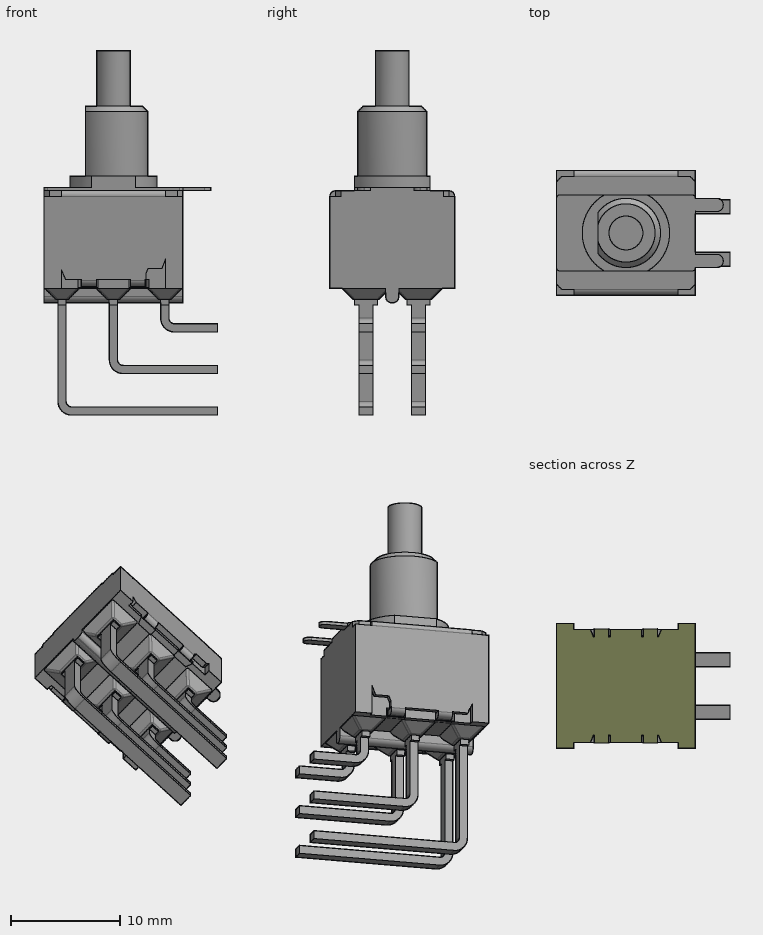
import cadquery as cq


TOTAL_Z = 33.35
TOTAL_X = 15.87
TOP_Z = 21.75
BOTTOM_Z = TOP_Z - TOTAL_Z

HOUSING_X = 12.7
HOUSING_Y = 11.45
HOUSING_Z = 8.4

SHEET = 0.55
COVER_Y = HOUSING_Y - 2 * SHEET
COVER_Z = HOUSING_Z + SHEET
COVER_CORNER = 0.5
STRAP_X = 9.55
STRAP_HALF = STRAP_X / 2
STRAP_BOTTOM_Z = 0.8
STRAP_LEFT_CORNER_X = -4.37
STRAP_LEFT_CORNER_Z = 1.7
NOTCH_X = 2.97
NOTCH_TOP_X = 3.17
NOTCH_TOP_Z = 1.8
NOTCH_SIDE_Z = 1.35
NOTCH_END_X = 4.45
NOTCH_CORNER_Z = 2.67

TAB_CENTER_X = 2.25
TAB_X = 1.35
TAB_BOTTOM_Z = 0.17
SLOT_FLOOR_Z = 0.07
SLOT_INNER_X = 1.45
SLOT_OUTER_X = 3.25
SLOT_FLARE = 0.27
SLOT_DEPTH = 0.67

PLATE_Y = 6.95
PLATE_Z = 0.3
PLATE_CORNER = 0.3
PLATE_TOP_Z = COVER_Z + PLATE_Z
LUG_END_X = 8.9
LUG_WIDTH = 1.2
LUG_Y = 2.57
LUG_ROUND = 0.57

WASHER_DIAMETER = 8.0
WASHER_Z = 1.05
WASHER_TOP_Z = PLATE_TOP_Z + WASHER_Z
BUSHING_DIAMETER = 6.35
BUSHING_TOP_Z = 16.67
BUSHING_CHAMFER = 0.5
BUSHING_FLAT_X = -2.57
PLUNGER_DIAMETER = 3.1

RIDGE_Y = 1.2
RIDGE_BOTTOM_Z = -1.35
RIDGE_ROUND = 0.57
RIDGE_OVERLAP = 0.35

ROW_Y = 2.4
COLUMN_PITCH = 4.7
PIN_THICKNESS = 0.77
PIN_WIDTH = 1.3
PIN_END_X = TOTAL_X - HOUSING_X / 2
COLUMNS = 3
LEG_PITCH = 3.8
BEND_RADIUS = 1.27
COLLAR_WIDTH = 2.15
COLLAR_BOTTOM_Z = -1.55
PAD_X = 3.17
PAD_Y = 4.4
PAD_Z = 1.05
PAD_TAPER = 45
PAD_ROUND = 0.27


def block(x_min, x_max, y_min, y_max, z_min, z_max):
    """Axis-aligned box between two corners."""
    size = (x_max - x_min, y_max - y_min, z_max - z_min)
    return cq.Workplane().box(*size, centered=False).translate((x_min, y_min, z_min))


def centered_block(x_size, y_size, z_min, z_max):
    """Box centred on the plunger axis."""
    return block(-x_size / 2, x_size / 2, -y_size / 2, y_size / 2, z_min, z_max)


def cylinder(diameter, z_min, z_max):
    """Cylinder on the plunger axis."""
    return cq.Workplane().workplane(offset=z_min).circle(diameter / 2).extrude(z_max - z_min)


def both_sides(shape):
    """The shape together with its mirror image across the XZ plane."""
    return shape.union(shape.mirror("XZ"))


def make_strap():
    """Side strap on the -Y side, folded from the cover edge and trimmed at its lower end."""
    face_y = -HOUSING_Y / 2
    inner_y = face_y + SHEET
    folded = (
        cq.Workplane("YZ", origin=(-STRAP_HALF, 0, 0))
        .moveTo(face_y, 0)
        .lineTo(face_y, HOUSING_Z)
        .radiusArc((inner_y, COVER_Z), SHEET)
        .lineTo(inner_y, 0)
        .close()
        .extrude(STRAP_X)
    )
    outline = (
        cq.Workplane("XZ")
        .moveTo(-STRAP_HALF, COVER_Z)
        .lineTo(-STRAP_HALF, STRAP_LEFT_CORNER_Z)
        .lineTo(STRAP_LEFT_CORNER_X, STRAP_BOTTOM_Z)
        .lineTo(NOTCH_X, STRAP_BOTTOM_Z)
        .lineTo(NOTCH_X, NOTCH_SIDE_Z)
        .lineTo(NOTCH_TOP_X, NOTCH_TOP_Z)
        .lineTo(NOTCH_END_X, NOTCH_TOP_Z)
        .lineTo(STRAP_HALF, NOTCH_CORNER_Z)
        .lineTo(STRAP_HALF, COVER_Z)
        .close()
        .extrude(HOUSING_Y)
    )
    return folded.intersect(outline)


def make_tab(center_x):
    """Tab that continues the -Y strap downward and curls into the housing."""
    face_y = -HOUSING_Y / 2
    inner_y = face_y + SHEET
    return (
        cq.Workplane("YZ", origin=(center_x - TAB_X / 2, 0, 0))
        .moveTo(face_y, STRAP_BOTTOM_Z)
        .lineTo(face_y, TAB_BOTTOM_Z + SHEET)
        .radiusArc((inner_y, TAB_BOTTOM_Z), -SHEET)
        .lineTo(inner_y + SLOT_DEPTH, TAB_BOTTOM_Z)
        .lineTo(inner_y + SLOT_DEPTH, STRAP_BOTTOM_Z)
        .close()
        .extrude(TAB_X)
    )


def make_slot(side):
    """Slot behind the -Y strap for one tab; its outer wall flares toward the outside."""
    mouth_y = -COVER_Y / 2
    return (
        cq.Workplane("XY", origin=(0, 0, SLOT_FLOOR_Z))
        .moveTo(side * SLOT_INNER_X, mouth_y)
        .lineTo(side * SLOT_OUTER_X, mouth_y)
        .lineTo(side * (SLOT_OUTER_X - SLOT_FLARE), mouth_y + SLOT_DEPTH)
        .lineTo(side * SLOT_INNER_X, mouth_y + SLOT_DEPTH)
        .close()
        .extrude(STRAP_BOTTOM_Z - SLOT_FLOOR_Z)
    )


def make_housing():
    """Housing block with strap recesses, tab slots and the ridge underneath."""
    recess = block(-STRAP_HALF, STRAP_HALF, -HOUSING_Y / 2, -COVER_Y / 2, 0, HOUSING_Z)
    for side in (-1, 1):
        recess = recess.union(make_slot(side))
    ridge = centered_block(HOUSING_X, RIDGE_Y, RIDGE_BOTTOM_Z, RIDGE_OVERLAP)
    ridge = ridge.edges("|X and <Z").fillet(RIDGE_ROUND)
    housing = centered_block(HOUSING_X, HOUSING_Y, 0, HOUSING_Z)
    return housing.cut(both_sides(recess)).union(ridge)


def make_frame():
    """Cover plate with chamfered corners, side straps and curled tabs."""
    cover = centered_block(HOUSING_X, COVER_Y, HOUSING_Z, COVER_Z)
    cover = cover.edges("|Z").chamfer(COVER_CORNER)
    side = make_strap()
    for center_x in (-TAB_CENTER_X, TAB_CENTER_X):
        side = side.union(make_tab(center_x))
    return cover.union(both_sides(side))


def make_support_plate():
    """Thin plate on the cover with two round-ended lugs on the +X side."""
    plate = centered_block(HOUSING_X, PLATE_Y, COVER_Z, PLATE_TOP_Z)
    plate = plate.edges("|Z").fillet(PLATE_CORNER)
    lug = block(0, LUG_END_X, -LUG_Y - LUG_WIDTH / 2, -LUG_Y + LUG_WIDTH / 2, COVER_Z, PLATE_TOP_Z)
    lug = lug.edges("|Z and >X").fillet(LUG_ROUND)
    return plate.union(both_sides(lug))


def make_actuator():
    """Two-flat washer, single-flat bushing and plunger."""
    washer = cylinder(WASHER_DIAMETER, PLATE_TOP_Z, WASHER_TOP_Z)
    washer = washer.intersect(centered_block(WASHER_DIAMETER, PLATE_Y, PLATE_TOP_Z, WASHER_TOP_Z))
    radius = BUSHING_DIAMETER / 2
    bushing = cylinder(BUSHING_DIAMETER, PLATE_TOP_Z, BUSHING_TOP_Z)
    bushing = bushing.faces(">Z").chamfer(BUSHING_CHAMFER)
    bushing = bushing.intersect(block(BUSHING_FLAT_X, radius, -radius, radius, PLATE_TOP_Z, BUSHING_TOP_Z))
    return washer.union(bushing).union(cylinder(PLUNGER_DIAMETER, BUSHING_TOP_Z, TOP_Z))


def make_terminal(center_x, bottom_z):
    """One bent terminal on Y = 0 with its collar and tapered pad."""
    left = center_x - PIN_THICKNESS / 2
    right = center_x + PIN_THICKNESS / 2
    leg_top_z = bottom_z + PIN_THICKNESS
    inner_radius = BEND_RADIUS - PIN_THICKNESS
    pin = (
        cq.Workplane("XZ", origin=(0, PIN_WIDTH / 2, 0))
        .moveTo(left, 0)
        .lineTo(left, bottom_z + BEND_RADIUS)
        .radiusArc((left + BEND_RADIUS, bottom_z), -BEND_RADIUS)
        .lineTo(PIN_END_X, bottom_z)
        .lineTo(PIN_END_X, leg_top_z)
        .lineTo(right + inner_radius, leg_top_z)
        .radiusArc((right, leg_top_z + inner_radius), inner_radius)
        .lineTo(right, 0)
        .close()
        .extrude(PIN_WIDTH)
    )
    collar = centered_block(PIN_THICKNESS, COLLAR_WIDTH, COLLAR_BOTTOM_Z, 0)
    pad = cq.Workplane().rect(PAD_X, PAD_Y).extrude(-PAD_Z, taper=PAD_TAPER)
    pad = pad.edges("not >Z").fillet(PAD_ROUND)
    return pin.union(collar.union(pad).translate((center_x, 0, 0)))


def make_terminals():
    """Two rows of three terminals, each column bent one level higher toward +X."""
    row = cq.Workplane()
    for column in range(COLUMNS):
        center_x = (column - (COLUMNS - 1) / 2) * COLUMN_PITCH
        terminal = make_terminal(center_x, BOTTOM_Z + column * LEG_PITCH)
        row = row.add(terminal.translate((0, -ROW_Y, 0)))
    return both_sides(row.combine())


result = (
    make_housing()
    .union(make_frame())
    .union(make_support_plate())
    .union(make_actuator())
    .union(make_terminals())
)